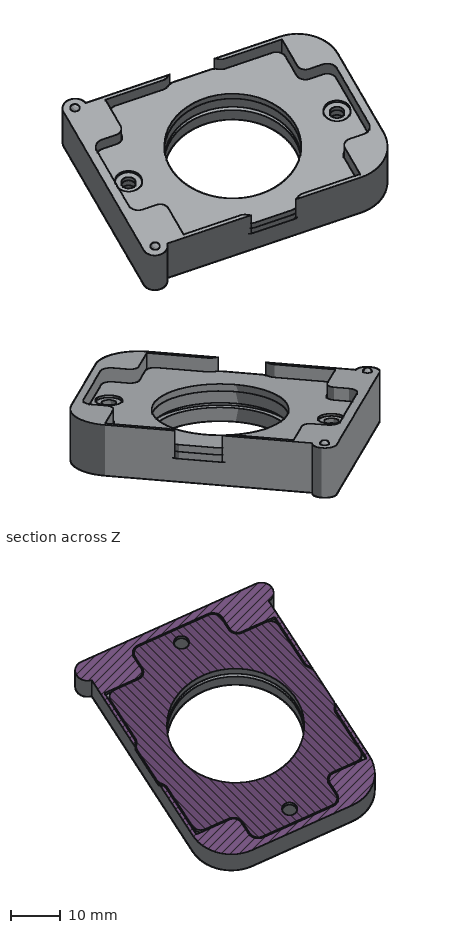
import cadquery as cq
import math

FRAME_LENGTH = 56.45
FRAME_WIDTH = 40.4
FRONT_Y = -28.35
REAR_Y = FRONT_Y + FRAME_LENGTH
REAR_CORNER_RADIUS = 8.85
REAR_TOP_Z = 11.0
FRONT_TOP_Z = 10.8

TOTAL_WIDTH = 44.6
EAR_DEPTH = 5.0
EAR_RADIUS = 2.4
EAR_X = TOTAL_WIDTH / 2 - EAR_RADIUS
EAR_Y = FRONT_Y + EAR_DEPTH / 2
EAR_PLACES = [(-EAR_X, EAR_Y), (EAR_X, EAR_Y)]
DOME_BASE_RADIUS = 0.95
DOME_TOP_Z = 11.45

POCKET_FLOOR_Z = 5.0
PLATE_THICKNESS = 1.5
LOWER_PLATE_TOP_Z = POCKET_FLOOR_Z + PLATE_THICKNESS
PLATE_CLEARANCE = 0.15

BODY_HALF = 19.2
TAB_HALF_WIDTH = 9.9
TAB_END_Y = 26.2
TONGUE_END_X = FRAME_WIDTH / 2
TONGUE_FLAT_HALF = 3.95
OUTLINE_RADIUS = 2.0
TONGUE_RADIUS = 2.3

BORE_DIAMETER = 27.5
SEAT_DIAMETER = 30.0
SEAT_FLOOR_Z = 3.0
BOSS_DIAMETER = 29.5
BOSS_HEIGHT = 1.0

SCREW_Y = 22.85
SCREW_PLACES = [(0, -SCREW_Y), (0, SCREW_Y)]
SCREW_DIAMETER = 3.0
SCREW_RECESS_DIAMETER = 5.5
SCREW_RECESS_DEPTH = 0.5


def cylinder(diameter, bottom_z, top_z, places=((0, 0),)):
    """Upright cylinders at the given places."""
    base = cq.Workplane("XY").workplane(offset=bottom_z).pushPoints(places)
    return base.circle(diameter / 2).extrude(top_z - bottom_z)


def arc_middle(center, radius, start_angle, end_angle):
    """Point halfway along an arc; angles in degrees."""
    angle = math.radians((start_angle + end_angle) / 2)
    return center[0] + radius * math.cos(angle), center[1] + radius * math.sin(angle)


def cross_prism(bottom_z, top_z, growth=0.0, round_body_corners=True):
    """Prism of the plate outline, offset outwards by `growth`."""
    body = BODY_HALF + growth
    tab_x = TAB_HALF_WIDTH + growth
    tab_y = TAB_END_Y + growth
    tongue_x = TONGUE_END_X + growth
    convex = OUTLINE_RADIUS + growth
    concave = OUTLINE_RADIUS - growth

    tongue_convex = TONGUE_RADIUS + growth
    tongue_concave = TONGUE_RADIUS - growth
    flare_angle = math.degrees(math.acos(1 - (tongue_x - body) / (2 * TONGUE_RADIUS)))
    flare_height = 2 * TONGUE_RADIUS * math.sin(math.radians(flare_angle))
    tip_center = (tongue_x - tongue_convex, TONGUE_FLAT_HALF)
    root_center = (body + tongue_concave, TONGUE_FLAT_HALF + flare_height)
    flare_joint = arc_middle(tip_center, tongue_convex, flare_angle, flare_angle)

    quarter = (
        cq.Workplane("XY").workplane(offset=bottom_z)
        .lineTo(tongue_x, 0)
        .lineTo(tongue_x, TONGUE_FLAT_HALF)
        .threePointArc(arc_middle(tip_center, tongue_convex, 0, flare_angle), flare_joint)
        .threePointArc(
            arc_middle(root_center, tongue_concave, 180 + flare_angle, 180),
            (body, root_center[1]),
        )
    )
    if round_body_corners:
        corner_center = (body - convex, body - convex)
        quarter = quarter.lineTo(body, corner_center[1]).threePointArc(
            arc_middle(corner_center, convex, 0, 90), (corner_center[0], body)
        )
    else:
        quarter = quarter.lineTo(body, body)
    inner_center = (tab_x + concave, body + concave)
    end_center = (tab_x - convex, tab_y - convex)
    quarter = (
        quarter.lineTo(inner_center[0], body)
        .threePointArc(arc_middle(inner_center, concave, 270, 180), (tab_x, inner_center[1]))
        .lineTo(tab_x, end_center[1])
        .threePointArc(arc_middle(end_center, convex, 0, 90), (end_center[0], tab_y))
        .lineTo(0, tab_y)
        .close()
        .extrude(top_z - bottom_z)
    )
    return quarter.mirror("YZ", union=True).mirror("XZ", union=True)


def through_holes():
    """Big bore and screw holes, which run through all three bodies."""
    bore = cylinder(BORE_DIAMETER, 0, REAR_TOP_Z)
    return bore.union(cylinder(SCREW_DIAMETER, 0, REAR_TOP_Z, SCREW_PLACES))


def ear_dome(place):
    """Spherical cap standing on an ear."""
    height = DOME_TOP_Z - FRONT_TOP_Z
    sphere_radius = (DOME_BASE_RADIUS**2 + height**2) / (2 * height)
    sphere = cq.Workplane("XY").sphere(sphere_radius)
    sphere = sphere.translate((*place, DOME_TOP_Z - sphere_radius))
    return sphere.intersect(cylinder(2 * sphere_radius, FRONT_TOP_Z, DOME_TOP_Z, [place]))


def make_frame():
    """Frame with ears and domes; the half behind the bore axis is slightly taller."""
    block = (
        cq.Workplane("XY")
        .box(FRAME_WIDTH, REAR_Y - EAR_Y, REAR_TOP_Z, centered=(True, False, False))
        .translate((0, EAR_Y, 0))
        .edges("|Z and >Y").fillet(REAR_CORNER_RADIUS)
    )
    front_bar = (
        cq.Workplane("XY")
        .box(TOTAL_WIDTH, EAR_DEPTH, FRONT_TOP_Z, centered=(True, True, False))
        .translate((0, EAR_Y, 0))
        .edges("|Z").fillet(EAR_RADIUS)
    )
    front_step = (
        cq.Workplane("XY").workplane(offset=FRONT_TOP_Z)
        .box(TOTAL_WIDTH, -FRONT_Y, REAR_TOP_Z - FRONT_TOP_Z, centered=(True, False, False))
        .translate((0, FRONT_Y, 0))
    )
    pocket = cross_prism(POCKET_FLOOR_Z, REAR_TOP_Z, PLATE_CLEARANCE, round_body_corners=False)
    seat = cylinder(SEAT_DIAMETER, SEAT_FLOOR_Z, POCKET_FLOOR_Z)

    frame = block.cut(front_step).union(front_bar)
    frame = frame.cut(pocket).cut(seat).cut(through_holes())
    for place in EAR_PLACES:
        frame = frame.union(ear_dome(place))
    return frame


def make_lower_plate():
    """Plate with a ring boss on its underside that enters the frame seat."""
    plate = cross_prism(POCKET_FLOOR_Z, LOWER_PLATE_TOP_Z)
    boss = cylinder(BOSS_DIAMETER, POCKET_FLOOR_Z - BOSS_HEIGHT, POCKET_FLOOR_Z)
    return plate.union(boss).cut(through_holes())


def make_upper_plate():
    """Plate with shallow recesses around its screw holes."""
    top_z = LOWER_PLATE_TOP_Z + PLATE_THICKNESS
    recesses = cylinder(SCREW_RECESS_DIAMETER, top_z - SCREW_RECESS_DEPTH, top_z, SCREW_PLACES)
    return cross_prism(LOWER_PLATE_TOP_Z, top_z).cut(recesses).cut(through_holes())


frame = make_frame()
lower_plate = make_lower_plate()
upper_plate = make_upper_plate()

result = cq.Compound.makeCompound([frame.val(), lower_plate.val(), upper_plate.val()])